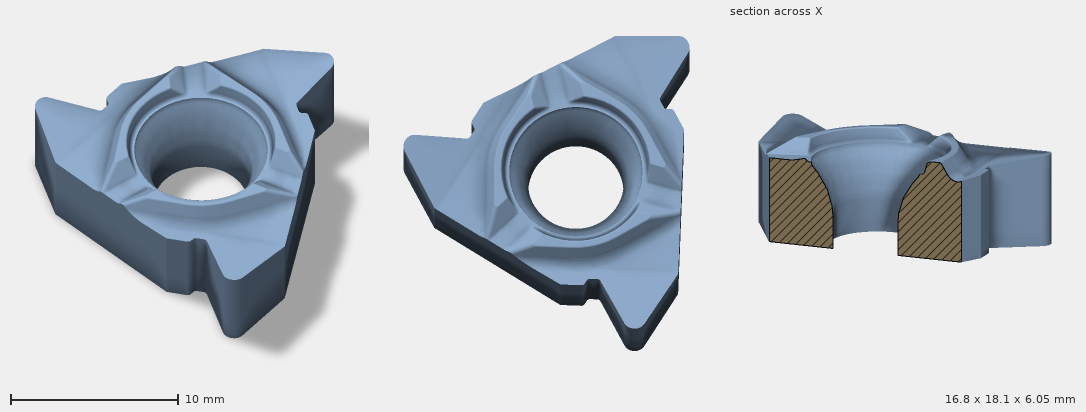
import cadquery as cq
import math

TEETH = 3
PITCH_ANGLE = 360 / TEETH

TOP_Z = 6.05
FLOOR_Z = 4.96
CHANNEL_FLOOR_Z = 5.23

INSCRIBED_RADIUS = 6.35
FLANK_ANGLE = 60
TOOTH_FOOT_Y = 6.0
REAR_FLANK_DISTANCE = 1.82
TOOTH_TIP_Y = 9.61
TOOTH_TIP_RADIUS = 0.665
SHELF_Y = 6.95
NOTCH_Y = 6.52
NOTCH_WALL_X = -0.72
NOTCH_WALL_ANGLE = 60
NOTCH_RADIUS = 0.22

RAKE_ANGLE = 10
RAKE_START_Y = 5.85
RAKE_BLEND_RADIUS = 0.6

ISLAND_TOP_RADIUS = 4.87
ISLAND_DRAFT = 32.5
ISLAND_FIRST_NORMAL = 90
ISLAND_SECOND_NORMAL = 122
ISLAND_FOOT_FILLET = 0.7
ISLAND_TOP_FILLET = 0.12
ISLAND_ARC_MID = (ISLAND_FIRST_NORMAL + ISLAND_SECOND_NORMAL) / 2

CHANNEL_DIRECTION = (ISLAND_SECOND_NORMAL + ISLAND_FIRST_NORMAL + PITCH_ANGLE) / 2
CHANNEL_FLOOR_HALF_WIDTH = 0.55
CHANNEL_WALL_SLOPE = 40
LUG_OUTER_FILLET = 0.25
LUG_INNER_FILLET = 0.12
LUG_FOOT_FILLET = 0.22

BORE_RADIUS = 5.7 / 2
FLARE_ANGLE = 40
FLARE_TOP_RADIUS = 3.88
LIP_RADIUS = 3.98

RECESS_FLOOR_RADIUS = 4.253
RECESS_TOP_RADIUS = 4.45

OVERSHOOT = 1.0
REACH = 12.0


def polar(radius, angle):
    """Point at a radius and an angle in degrees."""
    return (radius * math.cos(math.radians(angle)), radius * math.sin(math.radians(angle)))


def line_crossing(normal_a, distance_a, normal_b, distance_b):
    """Crossing of two lines, each given by its normal angle and distance from the axis."""
    ax, ay = polar(1, normal_a)
    bx, by = polar(1, normal_b)
    det = ax * by - ay * bx
    x = (distance_a * by - distance_b * ay) / det
    y = (ax * distance_b - bx * distance_a) / det
    return (x, y)


def turned(point, index):
    """Point moved to the tooth with the given index."""
    return polar(math.hypot(*point), math.degrees(math.atan2(point[1], point[0])) + index * PITCH_ANGLE)


def repeated(shape):
    """The shape copied to every tooth."""
    copies = shape
    for index in range(1, TEETH):
        copies = copies.union(shape.rotate((0, 0, 0), (0, 0, 1), index * PITCH_ANGLE))
    return copies


def nearest_edges(shape, points):
    """Workplane holding the edge of the shape nearest to each point."""
    edges = []
    for point in points:
        edges += shape.edges(cq.selectors.NearestToPointSelector(point)).vals()
    return shape.newObject(edges)


def outline_prism(height):
    """Upright prism over the insert outline, with rounded tooth tips and notches."""
    rear_normal = 90 - FLANK_ANGLE
    front_normal = 90 + FLANK_ANGLE
    foot = (-INSCRIBED_RADIUS, TOOTH_FOOT_Y)
    front_x, front_y = polar(1, front_normal)
    front_distance = foot[0] * front_x + foot[1] * front_y
    tip_front = line_crossing(front_normal, front_distance, 90, TOOTH_TIP_Y)
    tip_rear = line_crossing(rear_normal, REAR_FLANK_DISTANCE, 90, TOOTH_TIP_Y)
    notch_inner = line_crossing(rear_normal, REAR_FLANK_DISTANCE, 90, NOTCH_Y)
    wall_run = (SHELF_Y - NOTCH_Y) / math.tan(math.radians(NOTCH_WALL_ANGLE))
    notch_outer = (NOTCH_WALL_X - wall_run, NOTCH_Y)
    shelf_start = (NOTCH_WALL_X, SHELF_Y)
    shelf_end = line_crossing(90, SHELF_Y, 180 - PITCH_ANGLE, INSCRIBED_RADIUS)

    tooth = [foot, tip_front, tip_rear, notch_inner, notch_outer, shelf_start, shelf_end]
    points = [turned(point, -index) for index in range(TEETH) for point in tooth]
    prism = cq.Workplane("XY").polyline(points).close().extrude(height)

    def upright_edge_points(corners):
        return [(*turned(corner, index), height / 2) for corner in corners for index in range(TEETH)]

    prism = nearest_edges(prism, upright_edge_points([tip_front, tip_rear])).fillet(TOOTH_TIP_RADIUS)
    return nearest_edges(prism, upright_edge_points([notch_inner, notch_outer, shelf_start])).fillet(NOTCH_RADIUS)


def rake_wedge():
    """Wedge above the floor whose upper side is the inclined rake face of one tooth."""
    slope = math.radians(RAKE_ANGLE)
    tangent = RAKE_BLEND_RADIUS * math.tan(slope / 2)
    blend_mid_y = RAKE_START_Y - tangent + RAKE_BLEND_RADIUS * math.sin(slope / 2)
    blend_mid_z = FLOOR_Z + RAKE_BLEND_RADIUS * (1 - math.cos(slope / 2))
    blend_end_y = RAKE_START_Y + tangent * math.cos(slope)
    blend_end_z = FLOOR_Z + tangent * math.sin(slope)
    rake_end_z = FLOOR_Z + (REACH - RAKE_START_Y) * math.tan(slope)
    return (
        cq.Workplane("YZ", origin=(-REACH, 0, 0))
        .moveTo(RAKE_START_Y - tangent, FLOOR_Z)
        .threePointArc((blend_mid_y, blend_mid_z), (blend_end_y, blend_end_z))
        .lineTo(REACH, rake_end_z)
        .lineTo(REACH, FLOOR_Z - OVERSHOOT)
        .lineTo(RAKE_START_Y - tangent, FLOOR_Z - OVERSHOOT)
        .close()
        .extrude(2 * REACH)
    )


def slab_below_rake():
    """Solid under the plane of one rake face, continued inward to the bore axis."""
    slope = math.tan(math.radians(RAKE_ANGLE))
    section = [
        (0, FLOOR_Z - RAKE_START_Y * slope),
        (REACH, FLOOR_Z + (REACH - RAKE_START_Y) * slope),
        (REACH, 0),
        (0, 0),
    ]
    return cq.Workplane("YZ", origin=(-REACH, 0, 0)).polyline(section).close().extrude(2 * REACH)


def with_island(base, island_body, foot_points):
    """Base joined to the island, with the foot fillet along the edges at the given points."""
    joined = base.union(island_body)
    return nearest_edges(joined, foot_points).fillet(ISLAND_FOOT_FILLET)


def island_radius(z):
    """Distance of the drafted island walls from the axis at a height."""
    return ISLAND_TOP_RADIUS + (TOP_Z - z) * math.tan(math.radians(ISLAND_DRAFT))


def channel_half_width(z):
    """Half width between the sloped channel walls at a height."""
    return CHANNEL_FLOOR_HALF_WIDTH + (z - CHANNEL_FLOOR_Z) / math.tan(math.radians(CHANNEL_WALL_SLOPE))


def island_block(bottom_z, top_z):
    """Drafted block: per tooth a conical face between two flat walls."""
    radius = island_radius(bottom_z)
    next_normal = ISLAND_FIRST_NORMAL + PITCH_ANGLE
    arc_mid = polar(radius, ISLAND_ARC_MID)
    arc_end = polar(radius, ISLAND_SECOND_NORMAL)
    corner = line_crossing(ISLAND_SECOND_NORMAL, radius, next_normal, radius)

    sketch = cq.Workplane("XY", origin=(0, 0, bottom_z)).moveTo(*polar(radius, ISLAND_FIRST_NORMAL))
    for index in range(TEETH):
        sketch = sketch.threePointArc(turned(arc_mid, index), turned(arc_end, index))
        sketch = sketch.lineTo(*turned(corner, index))
        if index < TEETH - 1:
            sketch = sketch.lineTo(*polar(radius, next_normal + index * PITCH_ANGLE))
    return sketch.close().extrude(top_z - bottom_z, taper=ISLAND_DRAFT)


def channel():
    """Cutter for one sloped-wall channel running outward from the axis."""
    cutter_top = TOP_Z + OVERSHOOT
    half_width = channel_half_width(cutter_top)
    section = [
        (-CHANNEL_FLOOR_HALF_WIDTH, CHANNEL_FLOOR_Z),
        (CHANNEL_FLOOR_HALF_WIDTH, CHANNEL_FLOOR_Z),
        (half_width, cutter_top),
        (-half_width, cutter_top),
    ]
    cutter = cq.Workplane("YZ").polyline(section).close().extrude(REACH)
    return cutter.rotate((0, 0, 0), (0, 0, 1), CHANNEL_DIRECTION)


def recess():
    """Cutter for the tapered recess above the lip."""
    return (
        cq.Workplane("XY", origin=(0, 0, CHANNEL_FLOOR_Z))
        .circle(RECESS_FLOOR_RADIUS)
        .workplane(offset=TOP_Z - CHANNEL_FLOOR_Z)
        .circle(RECESS_TOP_RADIUS)
        .loft(ruled=True)
    )


def rounded_lugs():
    """The three lugs left of the island above the channel floor, with their edges rounded."""
    lugs = island_block(CHANNEL_FLOOR_Z, TOP_Z).cut(repeated(channel())).cut(recess())

    mid_z = (CHANNEL_FLOOR_Z + TOP_Z) / 2
    wall = island_radius(mid_z)
    half_width = channel_half_width(mid_z)
    outer_corners = [
        line_crossing(ISLAND_SECOND_NORMAL, wall, CHANNEL_DIRECTION - 90, half_width),
        line_crossing(ISLAND_FIRST_NORMAL + PITCH_ANGLE, wall, CHANNEL_DIRECTION + 90, half_width),
    ]
    outer_points = [(*turned(corner, index), mid_z) for corner in outer_corners for index in range(TEETH)]

    recess_wall = (RECESS_FLOOR_RADIUS + RECESS_TOP_RADIUS) / 2
    inner_half_angle = math.degrees(math.asin(half_width / recess_wall))
    inner_points = []
    for index in range(TEETH):
        for side in (-1, 1):
            angle = CHANNEL_DIRECTION + side * inner_half_angle + index * PITCH_ANGLE
            inner_points.append((*polar(recess_wall, angle), mid_z))

    lugs = nearest_edges(lugs, outer_points).fillet(LUG_OUTER_FILLET)
    lugs = nearest_edges(lugs, inner_points).fillet(LUG_INNER_FILLET)
    return lugs.faces(">Z").edges().fillet(ISLAND_TOP_FILLET)


def lug_foot_points():
    """One point on the channel floor at the recess side of each lug."""
    first_lug = CHANNEL_DIRECTION + PITCH_ANGLE / 2
    lug_angles = [first_lug + index * PITCH_ANGLE for index in range(TEETH)]
    return [(*polar(RECESS_FLOOR_RADIUS, angle), CHANNEL_FLOOR_Z) for angle in lug_angles]


def bore():
    """Cutter for the bore, its flared seat and the lip where the seat turns vertical."""
    angle = math.radians(FLARE_ANGLE)
    lip_arc = (LIP_RADIUS - FLARE_TOP_RADIUS) / (1 - math.cos(angle))
    flare_arc = (FLARE_TOP_RADIUS - BORE_RADIUS) / (1 - math.cos(angle))
    flare_top_z = CHANNEL_FLOOR_Z - lip_arc * math.sin(angle)
    flare_start_z = flare_top_z - flare_arc * math.sin(angle)
    half_bend = 1 - math.cos(angle / 2)
    half_rise = math.sin(angle / 2)
    flare_mid = (BORE_RADIUS + flare_arc * half_bend, flare_start_z + flare_arc * half_rise)
    lip_mid = (LIP_RADIUS - lip_arc * half_bend, CHANNEL_FLOOR_Z - lip_arc * half_rise)
    return (
        cq.Workplane("XZ")
        .moveTo(0, -OVERSHOOT)
        .lineTo(BORE_RADIUS, -OVERSHOOT)
        .lineTo(BORE_RADIUS, flare_start_z)
        .threePointArc(flare_mid, (FLARE_TOP_RADIUS, flare_top_z))
        .threePointArc(lip_mid, (LIP_RADIUS, CHANNEL_FLOOR_Z))
        .lineTo(LIP_RADIUS, TOP_Z)
        .lineTo(0, TOP_Z)
        .close()
        .revolve(360, (0, 0, 0), (0, 1, 0))
    )


outline = outline_prism(TOP_Z)
block = island_block(FLOOR_Z - OVERSHOOT, TOP_Z).intersect(outline)
floor_slab = outline.intersect(cq.Workplane("XY").rect(2 * REACH, 2 * REACH).extrude(FLOOR_Z))
rake_slab = outline.intersect(slab_below_rake())
foot_points = []
for tooth_index in range(TEETH):
    foot_angle = ISLAND_ARC_MID + tooth_index * PITCH_ANGLE
    foot_points.append((*polar(island_radius(FLOOR_Z), foot_angle), FLOOR_Z))

body = with_island(floor_slab, block, foot_points)
body = body.union(repeated(with_island(rake_slab, block, foot_points[:1])))
body = body.union(repeated(rake_wedge()).intersect(outline))

body = body.cut(island_block(CHANNEL_FLOOR_Z, TOP_Z).cut(rounded_lugs()))
body = body.cut(bore())
result = nearest_edges(body, lug_foot_points()).fillet(LUG_FOOT_FILLET)